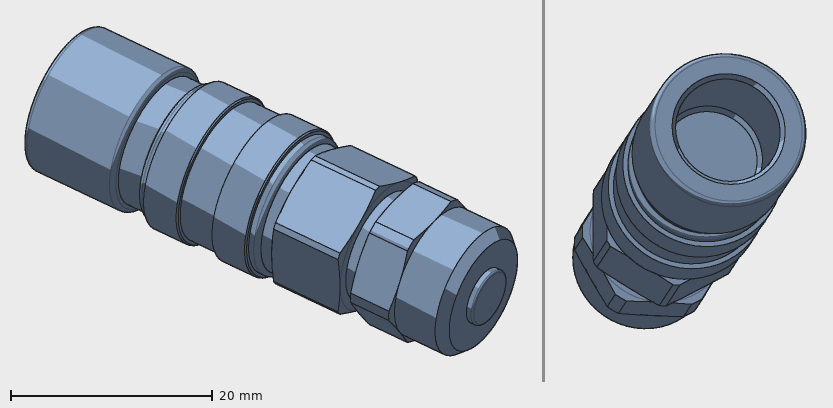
import cadquery as cq
import math

LENGTH = 50.75

SLEEVE_DIA = 15.8
NECK_DIA = 14.0
BAND_DIA = 15.1
RING_DIA = 16.15
GROOVE_DIA = 12.0
TAIL_DIA = 14.0
TAIL_END_DIA = 12.15
STUB_DIA = 6.05

SLEEVE_END = 10.85
BAND_START = 13.55
FIRST_RING_START = 14.6
SECOND_RING_START = 22.85
RING_WIDTH = 4.05
BAND_END = 28.0
BODY_HEX_START = 29.3
BODY_HEX_END = 37.5
NUT_HEX_START = 39.05
NUT_HEX_END = 44.05
TAIL_END = 50.0

SLEEVE_ROUND = 0.45
BAND_ROUND = 0.5
RING_CHAMFER = 0.15
TAIL_CHAMFER_LENGTH = 1.05
STUB_ROUND = 0.2

HEX_ACROSS_FLATS = 14.0
BODY_HEX_DIA = 15.8
NUT_HEX_DIA = 15.5
HALF_FLAT_ANGLE = 180 / 6
HEX_CHAMFER_ANGLE = 15.0

BORE_DIA = 10.55
BORE_MOUTH_DIA = 11.4
BORE_FLOOR_DIA = 9.65
BORE_DEPTH = 10.85


def disc(start, end, diameter):
    """Cylinder on the X axis between two stations."""
    return cq.Workplane("YZ").workplane(offset=start).circle(diameter / 2).extrude(end - start)


def turned(profile):
    """Solid of revolution about the X axis from (x, radius) points given in order along X."""
    first_x = profile[0][0]
    last_x = profile[-1][0]
    outline = [(first_x, 0)] + profile + [(last_x, 0)]
    return cq.Workplane("XY").polyline(outline).close().revolve(360, (0, 0, 0), (1, 0, 0))


def hexagon(start, end, blank_dia, turn):
    """Round blank with six flats; turn = 0 puts two flats on +Y and -Y.

    The shallow end chamfers run inward as far as the flats, so only the corners are cut back.
    """
    blank_radius = blank_dia / 2
    flat_radius = HEX_ACROSS_FLATS / 2
    setback = (blank_radius - flat_radius) * math.tan(math.radians(HEX_CHAMFER_ANGLE))
    blank = turned(
        [
            (start, flat_radius),
            (start + setback, blank_radius),
            (end - setback, blank_radius),
            (end, flat_radius),
        ]
    )
    corner_dia = HEX_ACROSS_FLATS / math.cos(math.radians(HALF_FLAT_ANGLE))
    prism = (
        cq.Workplane("YZ")
        .workplane(offset=start)
        .transformed(rotate=(0, 0, HALF_FLAT_ANGLE + turn))
        .polygon(6, corner_dia)
        .extrude(end - start)
    )
    return blank.intersect(prism)


def rear_tail():
    """Round tail with a chamfered end, and the small stub on its end."""
    radius = TAIL_DIA / 2
    tail = turned(
        [
            (NUT_HEX_END, radius),
            (TAIL_END - TAIL_CHAMFER_LENGTH, radius),
            (TAIL_END, TAIL_END_DIA / 2),
        ]
    )
    stub = disc(TAIL_END, LENGTH, STUB_DIA).faces(">X").edges().fillet(STUB_ROUND)
    return tail.union(stub)


def bore():
    """Blind bore, tapered at its mouth and down to its flat floor."""
    radius = BORE_DIA / 2
    mouth_radius = BORE_MOUTH_DIA / 2
    floor_radius = BORE_FLOOR_DIA / 2
    return turned(
        [
            (0, mouth_radius),
            (mouth_radius - radius, radius),
            (BORE_DEPTH - (radius - floor_radius), radius),
            (BORE_DEPTH, floor_radius),
        ]
    )


body = disc(0, SLEEVE_END, SLEEVE_DIA).edges().fillet(SLEEVE_ROUND)
body = body.union(disc(SLEEVE_END, BODY_HEX_START, NECK_DIA))
body = body.union(disc(BAND_START, BAND_END, BAND_DIA).edges().fillet(BAND_ROUND))
for ring_start in (FIRST_RING_START, SECOND_RING_START):
    ring = disc(ring_start, ring_start + RING_WIDTH, RING_DIA)
    body = body.union(ring.faces(">X").edges().chamfer(RING_CHAMFER))

body = body.union(hexagon(BODY_HEX_START, BODY_HEX_END, BODY_HEX_DIA, 0))
body = body.union(disc(BODY_HEX_END, NUT_HEX_START, GROOVE_DIA))
body = body.union(hexagon(NUT_HEX_START, NUT_HEX_END, NUT_HEX_DIA, HALF_FLAT_ANGLE))
body = body.union(rear_tail())

result = body.cut(bore())